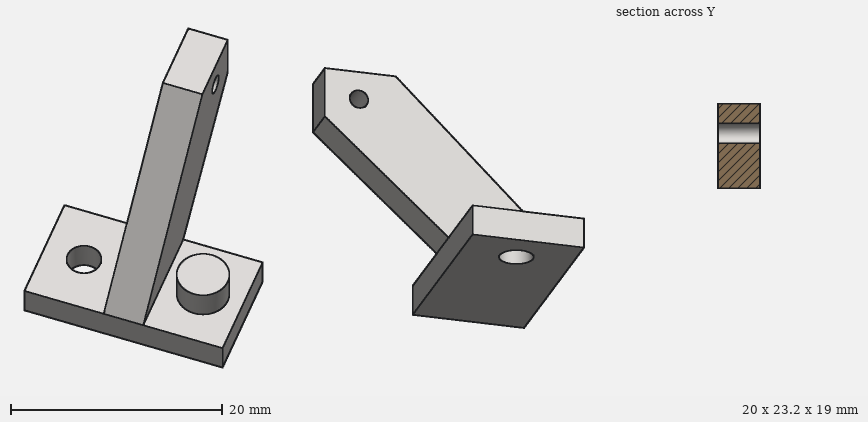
import cadquery as cq

plate_length = 20.0
plate_width = 11.0
plate_thickness = 3.0
plate_hole_diameter = 3.3
hole_inset = 4.0

arm_thickness = 4.0
arm_back_y = 23.22
arm_top_z = 19.0
arm_top_length = 7.0
arm_back_height = 5.0
arm_hole_diameter = 1.8
arm_hole_from_back = 3.37
arm_hole_from_top = 2.8

pin_diameter = 5.0
pin_height = 2.95


def make_arm():
    """Arm leaning back from the full plate width, cross-drilled near its top."""
    side_plane = cq.Workplane("YZ", origin=((plate_length - arm_thickness) / 2, 0, 0))
    profile = [
        (0, plate_thickness),
        (plate_width, plate_thickness),
        (arm_back_y, arm_top_z - arm_back_height),
        (arm_back_y, arm_top_z),
        (arm_back_y - arm_top_length, arm_top_z),
    ]
    arm = side_plane.polyline(profile).close().extrude(arm_thickness)
    cross_hole = (
        side_plane.center(arm_back_y - arm_hole_from_back, arm_top_z - arm_hole_from_top)
        .circle(arm_hole_diameter / 2)
        .extrude(arm_thickness)
    )
    return arm.cut(cross_hole)


def make_bracket():
    """Plate with a through hole at its -X end, joined to the arm."""
    plate = cq.Workplane("XY").box(plate_length, plate_width, plate_thickness, centered=False)
    plate_hole = (
        cq.Workplane("XY")
        .center(hole_inset, plate_width / 2)
        .circle(plate_hole_diameter / 2)
        .extrude(plate_thickness)
    )
    return plate.cut(plate_hole).union(make_arm())


def make_pin():
    """Plain cylinder resting on the plate at its +X end."""
    return (
        cq.Workplane("XY", origin=(plate_length - hole_inset, plate_width / 2, plate_thickness))
        .circle(pin_diameter / 2)
        .extrude(pin_height)
    )


bracket = make_bracket()
pin = make_pin()
result = cq.Compound.makeCompound([bracket.val(), pin.val()])